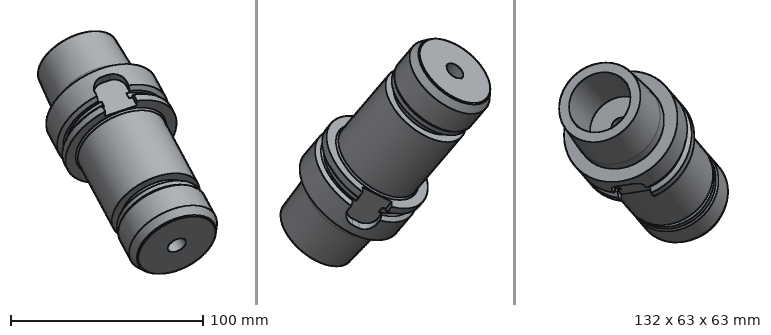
import cadquery as cq

LENGTH = 132.0
FLANGE_RADIUS = 31.48
BODY_RADIUS = 25.0

SHANK_TIP_RADIUS = 22.6
SHANK_BASE_RADIUS = 24.0
TAPER_END = 25.5
SOCKET_RADIUS = 17.0
SOCKET_DEPTH = 32.0
THROUGH_RADIUS = 5.1

FLANGE_START = 32.0
FLANGE_END = 57.8
GROOVE_RADIUS = 27.2
GROOVE_START = 48.3
GROOVE_END = 51.9
GROOVE_CHAMFER_LENGTH = 1.6
GROOVE_CHAMFER_DEPTH = 2.6
SHOULDER_LENGTH = 1.2
SHOULDER_HEIGHT = 0.8

KEYWAY_START = 37.1
KEYWAY_WIDTH = 18.0
KEYWAY_CORNER_RADIUS = 7.0
KEYWAY_FLOOR = 26.3

NECK_RADIUS = 20.0
NECK_START = 104.0
NECK_END = 108.4
LAND_RADIUS = 24.0
LAND_END = 111.1
NUT_START = 112.3
NOSE_START = 127.0
NOSE_RADIUS = 22.5
RIM_LENGTH = 0.5
RIM_HEIGHT = 0.7


def make_body():
    """Revolve the outer half profile around X."""
    chamfer_radius = FLANGE_RADIUS - GROOVE_CHAMFER_DEPTH
    profile = [
        (0, 0),
        (0, SHANK_TIP_RADIUS),
        (TAPER_END, SHANK_BASE_RADIUS),
        (FLANGE_START, SHANK_BASE_RADIUS),
        (FLANGE_START, FLANGE_RADIUS),
        (GROOVE_START - GROOVE_CHAMFER_LENGTH, FLANGE_RADIUS),
        (GROOVE_START, chamfer_radius),
        (GROOVE_START, GROOVE_RADIUS),
        (GROOVE_END, GROOVE_RADIUS),
        (GROOVE_END, chamfer_radius),
        (GROOVE_END + GROOVE_CHAMFER_LENGTH, FLANGE_RADIUS),
        (FLANGE_END, FLANGE_RADIUS),
        (FLANGE_END, BODY_RADIUS + SHOULDER_HEIGHT),
        (FLANGE_END + SHOULDER_LENGTH, BODY_RADIUS),
        (NECK_START, BODY_RADIUS),
        (NECK_START, NECK_RADIUS),
        (NECK_END, NECK_RADIUS),
        (NECK_END, LAND_RADIUS),
        (LAND_END, LAND_RADIUS),
        (NUT_START, BODY_RADIUS),
        (NOSE_START, BODY_RADIUS),
        (LENGTH - RIM_LENGTH, NOSE_RADIUS),
        (LENGTH, NOSE_RADIUS - RIM_HEIGHT),
        (LENGTH, 0),
    ]
    return cq.Workplane("XY").polyline(profile).close().revolve(360, (0, 0, 0), (1, 0, 0))


def make_bore():
    """Blind socket in the shank with a smaller hole through the whole part."""
    socket = cq.Workplane("YZ").circle(SOCKET_RADIUS).extrude(SOCKET_DEPTH)
    through_hole = cq.Workplane("YZ").circle(THROUGH_RADIUS).extrude(LENGTH)
    return socket.union(through_hole)


def make_keyway():
    """Flat-floored cutter with rounded inner corners, open toward the body."""
    length = FLANGE_END - KEYWAY_START
    height = FLANGE_RADIUS - KEYWAY_FLOOR
    return (
        cq.Workplane("XY", origin=(KEYWAY_START + length / 2, 0, KEYWAY_FLOOR))
        .rect(length, KEYWAY_WIDTH)
        .extrude(height)
        .edges("|Z and <X")
        .fillet(KEYWAY_CORNER_RADIUS)
    )


result = make_body().cut(make_bore())
top_keyway = make_keyway()
for keyway in (top_keyway, top_keyway.mirror("XY")):
    result = result.cut(keyway)